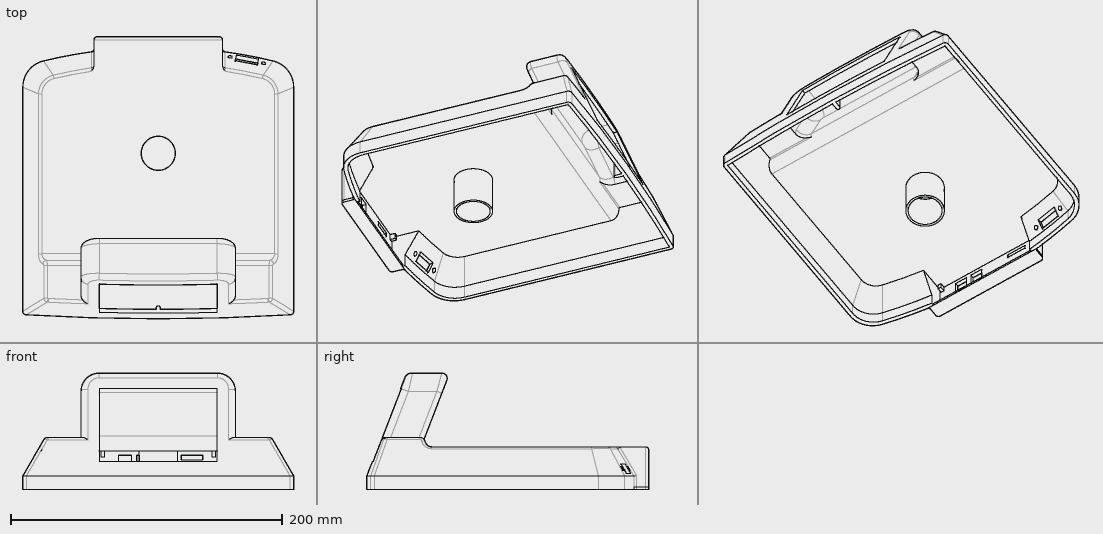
import cadquery as cq
import math

HALF_WIDTH = 100.0
FRONT_Y = -122.19
FRONT_RADIUS = 1600.0
REAR_Y = 78.3
REAR_RADIUS = 360.0
REAR_CORNER_RADIUS = 20.0
REAR_RADIUS_LOSS = 2.0
CORNER_RADIUS_LOSS = 0.5

SKIRT_Z = 10.0
DECK_Z = 31.6
PAD_Z = 38.5
HANDLE_Z = 86.0

SIDE_SLOPE = math.tan(math.radians(30))
LEAN_ANGLE = math.radians(21.1)
LEAN = math.tan(LEAN_ANGLE)
RIM_RADIUS = 3.0
FRONT_CORNER_DEPTH = 15.0
WALL = 3.0
CEILING_Z = DECK_Z - WALL

STEP_Y = -74.1
STEP_FOOT_RADIUS = 5.0
STEP_HEAD_RADIUS = 4.0

HANDLE_HALF_WIDTH = 57.0
HANDLE_BACK_Y = -79.2
HANDLE_FOOT_Z = 20.0
HANDLE_TOP_RADIUS = 13.5
HANDLE_BACK_RADIUS = 4.0
HANDLE_FRONT_RADIUS = 5.5
WINDOW_HALF_WIDTH = HANDLE_HALF_WIDTH - HANDLE_TOP_RADIUS
WINDOW_SILL_Z = 20.9
WINDOW_TOP_Z = 74.5
HANDLE_HOLLOW_RADIUS = 8.3

BLOCK_HALF_WIDTH = 47.5
BLOCK_BACK_Y = 86.0
BLOCK_FRONT_Y = 50.0
BLOCK_EDGE_RADIUS = 2.5
BLOCK_ROOT_RADIUS = 2.0
BLOCK_ROOT_SEARCH = 15.0
BLOCK_SIDE_WALL = 4.0
LID_THICKNESS = 2.0

SOCKETS = [(-29.3, -19.8, 14.0, 25.2), (-15.7, -6.2, 14.0, 25.2), (17.0, 32.7, 22.0, 25.2)]

TAB_X = 41.0
TAB_WIDTH = 2.5
TAB_HEIGHT = 4.5
TAB_LENGTH = 4.0

HOLE_DIAMETER = 25.0
TUBE_DIAMETER = 28.4

PORT_X = 66.0
PORT_ANGLE = -10.5
PORT_Z = 15.5
PORT_WIDTH = 16.5
PORT_HEIGHT = 7.0
PORT_SCREW_SPACING = 25.0
PORT_SCREW_DIAMETER = 3.0
PORT_CUT_FRONT_Y = 55.0
PORT_CUT_LENGTH = 40.0

POST_RADIUS = 1.5
POST_REACH = 2.5

BEYOND = 30.0


def front_y(z):
    """Y of the front face on the middle plane."""
    return FRONT_Y + max(z - SKIRT_Z, 0) * LEAN


def rear_y(x):
    """Y of the arched rear of the skirt."""
    return REAR_Y - REAR_RADIUS + math.sqrt(REAR_RADIUS**2 - x**2)


def handle_back_y(z):
    """Y of the leaning back face of the handle."""
    return HANDLE_BACK_Y + (z - PAD_Z) * LEAN


def box(x_range, y_range, z_range):
    """Block between the given limits."""
    sizes = [high - low for low, high in (x_range, y_range, z_range)]
    corner = (x_range[0], y_range[0], z_range[0])
    return cq.Workplane("XY").box(*sizes, centered=False).translate(corner)


def edges_within(solid, low_corner, high_corner):
    """Edges whose centres lie in the box."""
    return solid.edges(cq.selectors.BoxSelector(low_corner, high_corner))


def plan_wire(workplane, inset):
    """Base outline: straight sides, rounded rear corners and an arched rear; the front is left long."""
    half_width = HALF_WIDTH - inset
    corner = REAR_CORNER_RADIUS - CORNER_RADIUS_LOSS * inset
    rear = REAR_RADIUS - REAR_RADIUS_LOSS * inset
    apex_y = REAR_Y - inset
    corner_x = half_width - corner
    between_centres = rear - corner
    rise = math.sqrt(between_centres**2 - corner_x**2)
    corner_y = apex_y - rear + rise
    lean_x = corner_x / between_centres
    lean_y = rise / between_centres
    joint = (corner_x + corner * lean_x, corner_y + corner * lean_y)
    half_angle = math.atan2(lean_y, lean_x) / 2
    middle = (corner_x + corner * math.cos(half_angle), corner_y + corner * math.sin(half_angle))
    start_y = FRONT_Y - BEYOND
    return (
        workplane.moveTo(half_width, start_y)
        .lineTo(half_width, corner_y)
        .threePointArc(middle, joint)
        .threePointArc((0, apex_y), (-joint[0], joint[1]))
        .threePointArc((-middle[0], middle[1]), (-half_width, corner_y))
        .lineTo(-half_width, start_y)
        .close()
    )


def front_limit(inset):
    """Large round body whose near side is the bowed front: upright below, leaning back above."""
    radius = FRONT_RADIUS - inset
    height = HANDLE_Z + BEYOND
    outline = (
        cq.Workplane("XZ")
        .moveTo(0, -BEYOND)
        .lineTo(radius, -BEYOND)
        .lineTo(radius, SKIRT_Z)
        .lineTo(radius - (height - SKIRT_Z) * LEAN, height)
        .lineTo(0, height)
        .close()
    )
    round_body = outline.revolve(360, (0, 0, 0), (0, 1, 0))
    return round_body.translate((0, FRONT_Y + FRONT_RADIUS, 0))


def make_skirt(inset):
    """Upright lower part of the base."""
    return plan_wire(cq.Workplane("XY"), inset).extrude(SKIRT_Z).intersect(front_limit(inset))


def make_slopes(inset, top_z):
    """Sloping upper part of the base, cut level at top_z."""
    top_inset = inset + (top_z - SKIRT_Z) * SIDE_SLOPE
    lower = plan_wire(cq.Workplane("XY").workplane(offset=SKIRT_Z), inset).val()
    upper = plan_wire(cq.Workplane("XY").workplane(offset=top_z), top_inset).val()
    slopes = cq.Workplane(cq.Solid.makeLoft([lower, upper], True))
    return slopes.intersect(front_limit(inset))


def deck_limit(inset):
    """Everything below the deck, the S-shaped step and the pad."""
    deck_z = DECK_Z - inset
    pad_z = PAD_Z - inset
    foot_radius = STEP_FOOT_RADIUS + inset
    head_radius = STEP_HEAD_RADIUS - inset
    radii = foot_radius + head_radius
    turn = math.acos(1 - (pad_z - deck_z) / radii)
    end_y = STEP_Y - radii * math.sin(turn)
    half_sin = math.sin(turn / 2)
    half_drop = 1 - math.cos(turn / 2)
    foot_middle = (STEP_Y - foot_radius * half_sin, deck_z + foot_radius * half_drop)
    head_middle = (end_y + head_radius * half_sin, pad_z - head_radius * half_drop)
    joint = (STEP_Y - foot_radius * math.sin(turn), deck_z + foot_radius * (1 - math.cos(turn)))
    back = BLOCK_BACK_Y + BEYOND
    front = FRONT_Y - BEYOND
    return (
        cq.Workplane("YZ")
        .moveTo(back, 0)
        .lineTo(back, deck_z)
        .lineTo(STEP_Y, deck_z)
        .threePointArc(foot_middle, joint)
        .threePointArc(head_middle, (end_y, pad_z))
        .lineTo(front, pad_z)
        .lineTo(front, 0)
        .close()
        .extrude(HALF_WIDTH + BEYOND, both=True)
    )


def round_front_corners(solid):
    """Round the upright edge at each front corner."""
    edges = []
    for low_x, high_x in ((-HALF_WIDTH - 1, -WINDOW_HALF_WIDTH), (WINDOW_HALF_WIDTH, HALF_WIDTH + 1)):
        corner = edges_within(solid, (low_x, FRONT_Y, 1), (high_x, FRONT_Y + FRONT_CORNER_DEPTH, CEILING_Z))
        edges += corner.edges("not #Z").vals()
    return solid.newObject(edges).fillet(RIM_RADIUS)


def make_base():
    """Skirt and slopes under the deck and pad, with the front corners and the rim rounded."""
    slopes = round_front_corners(make_slopes(0, PAD_Z + WALL).intersect(deck_limit(0)))
    rim = edges_within(slopes, (-HALF_WIDTH, FRONT_Y, CEILING_Z), (HALF_WIDTH, REAR_Y, PAD_Z + 1))
    slopes = rim.edges("not |X").fillet(RIM_RADIUS)
    return round_front_corners(make_skirt(0)).union(slopes)


def make_handle():
    """Leaning arch with its back, then its front edges rounded."""
    foot, top = HANDLE_FOOT_Z, HANDLE_Z
    handle = (
        cq.Workplane("YZ")
        .moveTo(handle_back_y(foot), foot)
        .lineTo(handle_back_y(top), top)
        .lineTo(FRONT_Y, top)
        .lineTo(FRONT_Y, foot)
        .close()
        .extrude(HANDLE_HALF_WIDTH, both=True)
        .edges("|Y and >Z")
        .fillet(HANDLE_TOP_RADIUS)
        .intersect(front_limit(0))
    )
    middle_z = (foot + top) / 2
    for y, radius in ((handle_back_y(middle_z), HANDLE_BACK_RADIUS), (front_y(middle_z), HANDLE_FRONT_RADIUS)):
        face = handle.faces(cq.selectors.NearestToPointSelector((0, y, middle_z)))
        handle = face.edges("not <Z").fillet(radius)
    return handle


def make_block():
    """Upright connector block with its back edges rounded."""
    block = box((-BLOCK_HALF_WIDTH, BLOCK_HALF_WIDTH), (BLOCK_FRONT_Y, BLOCK_BACK_Y), (0, DECK_Z))
    return block.faces(">Y").edges("not <Z").fillet(BLOCK_EDGE_RADIUS)


def add_block(base):
    """Join the block and round the upright corners between its sides and the skirt."""
    joined = base.union(make_block())
    root_y = rear_y(BLOCK_HALF_WIDTH)
    edges = []
    for x in (-BLOCK_HALF_WIDTH, BLOCK_HALF_WIDTH):
        low_corner = (x - 1, root_y - BLOCK_ROOT_SEARCH, 1)
        edges += edges_within(joined, low_corner, (x + 1, root_y + 1, DECK_Z - 1)).vals()
    return joined.newObject(edges).fillet(BLOCK_ROOT_RADIUS)


def main_cavity():
    """Hollow under the deck and pad, open at the bottom and reaching into the block."""
    block_side = BLOCK_HALF_WIDTH - BLOCK_SIDE_WALL
    block_hollow = box((-block_side, block_side), (BLOCK_FRONT_Y, BLOCK_BACK_Y - WALL), (0, CEILING_Z))
    slopes = make_slopes(WALL, PAD_Z).intersect(deck_limit(WALL))
    return make_skirt(WALL).union(slopes).union(block_hollow)


def handle_hollow():
    """Hollow of the handle; its back wall curves over into the ceiling under the deck."""
    lip_radius = STEP_FOOT_RADIUS + WALL
    lip_centre_z = CEILING_Z + lip_radius
    wall_y = STEP_Y - lip_radius * math.cos(LEAN_ANGLE)
    wall_z = lip_centre_z + lip_radius * math.sin(LEAN_ANGLE)
    middle_angle = math.pi / 4 - LEAN_ANGLE / 2
    lip_middle = (
        STEP_Y - lip_radius * math.cos(middle_angle),
        lip_centre_z - lip_radius * math.sin(middle_angle),
    )
    top_z = HANDLE_Z - WALL
    top_y = wall_y + (top_z - wall_z) * LEAN
    half_width = HANDLE_HALF_WIDTH - WALL
    hollow = (
        cq.Workplane("YZ")
        .moveTo(FRONT_Y, top_z)
        .lineTo(top_y, top_z)
        .lineTo(wall_y, wall_z)
        .threePointArc(lip_middle, (STEP_Y, CEILING_Z))
        .lineTo(STEP_Y, HANDLE_FOOT_Z)
        .lineTo(FRONT_Y, HANDLE_FOOT_Z)
        .close()
        .extrude(half_width, both=True)
    )
    hollow = hollow.edges("|Y and >Z").fillet(HANDLE_TOP_RADIUS - WALL)
    hollow = hollow.edges(cq.selectors.NearestToPointSelector((0, top_y, top_z))).fillet(HANDLE_HOLLOW_RADIUS)
    return hollow.intersect(front_limit(WALL))


def window_cut():
    """Opening through the front wall of the handle and base."""
    sides = (-WINDOW_HALF_WIDTH, WINDOW_HALF_WIDTH)
    return box(sides, (FRONT_Y, front_y(WINDOW_TOP_Z) + 2 * WALL), (WINDOW_SILL_Z, WINDOW_TOP_Z))


def port_cut():
    """Slot and its two screw holes through the rear slope."""
    direction = cq.Plane(origin=(PORT_X, PORT_CUT_FRONT_Y, PORT_Z), xDir=(-1, 0, 0), normal=(0, 1, 0))
    slot = cq.Workplane(direction).rect(PORT_WIDTH, PORT_HEIGHT).extrude(PORT_CUT_LENGTH)
    half_spacing = PORT_SCREW_SPACING / 2
    screws = (
        cq.Workplane(direction)
        .pushPoints([(-half_spacing, 0), (half_spacing, 0)])
        .circle(PORT_SCREW_DIAMETER / 2)
        .extrude(PORT_CUT_LENGTH)
    )
    hinge_y = rear_y(PORT_X)
    return slot.union(screws).rotate((PORT_X, hinge_y, 0), (PORT_X, hinge_y, 1), PORT_ANGLE)


def make_tube():
    """Tube around the cable hole, before the hole is cut."""
    return cq.Workplane("XY").circle(TUBE_DIAMETER / 2).extrude(DECK_Z)


def make_tabs():
    """Small tabs under the ceiling inside the back of the block."""
    back = BLOCK_BACK_Y - WALL
    tabs = cq.Workplane("XY")
    for x in (-TAB_X, TAB_X):
        x_range = (x - TAB_WIDTH / 2, x + TAB_WIDTH / 2)
        tabs = tabs.union(box(x_range, (back - TAB_LENGTH, back), (CEILING_Z - TAB_HEIGHT, CEILING_Z)))
    return tabs


def make_post():
    """Half-round post on the inside of the front wall, up to the window sill."""
    tip_y = front_y(WINDOW_SILL_Z) + WALL + POST_REACH
    centre_y = tip_y - POST_RADIUS
    post = cq.Workplane("XY").center(0, centre_y).circle(POST_RADIUS).extrude(WINDOW_SILL_Z)
    web = box((-POST_RADIUS, POST_RADIUS), (FRONT_Y, centre_y), (0, WINDOW_SILL_Z))
    return post.union(web).intersect(front_limit(0))


def lid_space():
    """Flat space under the block, up to the foot of its root roundings."""
    half_width = BLOCK_HALF_WIDTH + BLOCK_ROOT_RADIUS
    return box((-half_width, half_width), (rear_y(half_width), BLOCK_BACK_Y), (0, LID_THICKNESS))


def make_housing(outer):
    """Hollow housing with its window, tube, tabs, post, sockets and connector opening."""
    housing = outer.cut(main_cavity()).cut(handle_hollow()).cut(window_cut())
    housing = housing.union(make_tube()).union(make_tabs()).union(make_post())
    for first_x, last_x, bottom_z, top_z in SOCKETS:
        housing = housing.cut(box((first_x, last_x), (REAR_Y, BLOCK_BACK_Y), (bottom_z, top_z)))
    hole = cq.Workplane("XY").circle(HOLE_DIAMETER / 2).extrude(DECK_Z)
    return housing.cut(hole).cut(port_cut()).cut(lid_space())


def make_lid(outer):
    """Flat lid that closes the block from below, flush with its sides."""
    return outer.intersect(lid_space())


outer_shape = add_block(make_base()).union(make_handle())
housing = make_housing(outer_shape)
lid = make_lid(outer_shape)

result = cq.Compound.makeCompound([housing.val(), lid.val()])